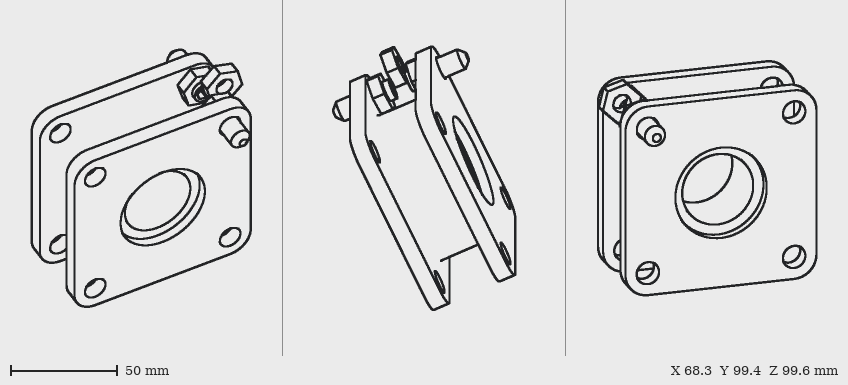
import cadquery as cq
import math

overall_height = 99.6
overall_width = 99.4

plate_side = 94.0
plate_thickness = 8.0
plate_gap = 26.0
plate_corner_radius = 11.1
drum_diameter = 74.0
drum_fillet = 1.5
bore_diameter = 34.9
counterbore_diameter = 45.0
counterbore_depth = 5.0
bolt_spacing = 72.0
bolt_hole_diameter = 11.0


stud_diameter = 10.0
stud_length = 30.0
stud_point_diameter = 4.0
socket_across_flats = 6.4
socket_depth = 5.0
socket_tilt = 20.0
left_stud_projection = 13.5
right_stud_projection = 12.8

nut_across_flats = 17.0
nut_thickness = 6.0
mounted_nut_tilt = 16.0
loose_nut_tilt = 14.0
loose_nut_bore = 8.6
loose_nut_center_x = -0.2

plate_inner_x = plate_gap / 2
plate_outer_x = plate_inner_x + plate_thickness
bolt_offset = bolt_spacing / 2
nut_corner_radius = nut_across_flats / math.sqrt(3)
loose_nut_y = (
    overall_width - plate_side / 2 - nut_corner_radius * math.cos(math.radians(30 - loose_nut_tilt))
)
loose_nut_z = (
    overall_height - plate_side / 2 - nut_corner_radius * math.cos(math.radians(loose_nut_tilt))
)


def plane_at(x, y=0.0, z=0.0, direction=1):
    """Plane facing along +X or -X, with its local y axis along Z."""
    return cq.Workplane(cq.Plane(origin=(x, y, z), xDir=(0, direction, 0), normal=(direction, 0, 0)))


def hexagon(plane, across_flats):
    """Hexagon with a vertex on the local y axis."""
    radius = across_flats / math.sqrt(3)
    angles = [math.radians(90 + 60 * i) for i in range(6)]
    return plane.polyline([(radius * math.cos(a), radius * math.sin(a)) for a in angles]).close()


def make_spool():
    spool = plane_at(-plate_inner_x).circle(drum_diameter / 2).extrude(plate_gap)
    for x in (-plate_outer_x, plate_inner_x):
        plate = plane_at(x).rect(plate_side, plate_side).extrude(plate_thickness)
        spool = spool.union(plate.edges("|X").fillet(plate_corner_radius))

    drum_edges = spool.edges("%CIRCLE").edges(cq.selectors.RadiusNthSelector(-1))
    spool = drum_edges.fillet(drum_fillet)

    length = 2 * plate_outer_x
    spool = spool.cut(plane_at(-plate_outer_x).circle(bore_diameter / 2).extrude(length))
    for side in (-1, 1):
        counterbore = plane_at(side * plate_outer_x, direction=-side).circle(counterbore_diameter / 2)
        spool = spool.cut(counterbore.extrude(counterbore_depth))

    bolt_holes = (
        plane_at(-plate_outer_x)
        .rect(bolt_spacing, bolt_spacing, forConstruction=True)
        .vertices()
        .circle(bolt_hole_diameter / 2)
        .extrude(length)
    )
    return spool.cut(bolt_holes)


def make_stud(side, projection):
    """Stud through one plate, its point outward on the given side (-1 or 1)."""
    tip_x = side * (plate_outer_x + projection)
    inner_end = plane_at(tip_x - side * stud_length, bolt_offset, bolt_offset, side)
    stud = inner_end.circle(stud_diameter / 2).extrude(stud_length)
    tip_face = ">X" if side > 0 else "<X"
    stud = stud.faces(tip_face).chamfer((stud_diameter - stud_point_diameter) / 2)
    socket = hexagon(inner_end, socket_across_flats).extrude(socket_depth)
    axis_start = (0, bolt_offset, bolt_offset)
    axis_end = (1, bolt_offset, bolt_offset)
    return stud.cut(socket.rotate(axis_start, axis_end, socket_tilt))


def make_nut(center, tilt, bore):
    """Nut with its axis along X through the given centre, tilted about that axis."""
    x, y, z = center
    base = plane_at(x - nut_thickness / 2, y, z)
    nut = hexagon(base, nut_across_flats).extrude(nut_thickness)
    nut = nut.rotate(center, (x + 1, y, z), tilt)
    return nut.cut(base.circle(bore / 2).extrude(nut_thickness))


spool = make_spool()
studs = [make_stud(-1, left_stud_projection), make_stud(1, right_stud_projection)]
mounted_nut_x = plate_inner_x - nut_thickness / 2
mounted_nuts = [
    make_nut((side * mounted_nut_x, bolt_offset, bolt_offset), mounted_nut_tilt, stud_diameter)
    for side in (-1, 1)
]
loose_nut = make_nut((loose_nut_center_x, loose_nut_y, loose_nut_z), loose_nut_tilt, loose_nut_bore)

result = cq.Compound.makeCompound(
    [
        spool.val(),
        *[stud.val() for stud in studs],
        *[nut.val() for nut in mounted_nuts],
        loose_nut.val(),
    ]
)